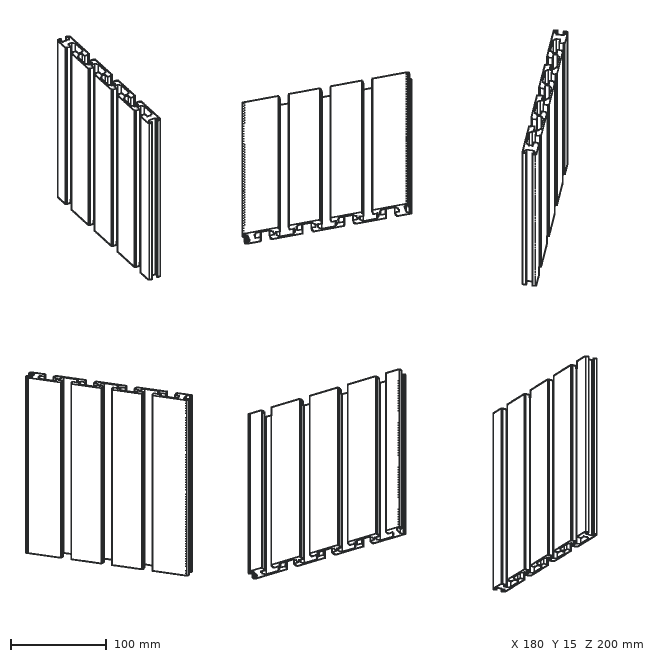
import cadquery as cq

length = 200.0
width = 180.0
thickness = 15.0
corner_radius = 2.0

slot_count = 7
slot_pitch = width / (slot_count + 1)
mouth_width = 10.0
mouth_step_width = 0.8
mouth_step_depth = 1.5
lip_thickness = 6.0
floor_thickness = 2.0
cavity_width = 20.2
cavity_chamfer = 2.8

groove_opening = 6.0
groove_step_width = 0.5
groove_step_depth = 0.5
groove_lip_thickness = 1.5
groove_depth = 5.5
groove_height = 12.5
groove_floor_height = 7.2
groove_slope_depth = 2.8


def mirrored_outline(half_outline):
    """Close a half outline of (half width, depth) points about its depth axis."""
    other_half = [(-half, depth) for half, depth in reversed(half_outline)]
    return cq.Workplane("XY").polyline(half_outline + other_half).close().extrude(length)


def t_slot():
    """T-slot opening at Y = 0 and running into +Y."""
    half_mouth = mouth_width / 2
    half_cavity = cavity_width / 2
    cavity_floor = thickness - floor_thickness
    return mirrored_outline([
        (half_mouth + mouth_step_width, 0),
        (half_mouth + mouth_step_width, mouth_step_depth),
        (half_mouth, mouth_step_depth),
        (half_mouth, lip_thickness),
        (half_cavity, lip_thickness),
        (half_cavity, cavity_floor - cavity_chamfer),
        (half_cavity - cavity_chamfer, cavity_floor),
    ])


def edge_groove():
    """Undercut edge groove opening at Y = 0 and running into +Y."""
    half_opening = groove_opening / 2
    return mirrored_outline([
        (half_opening + groove_step_width, 0),
        (half_opening + groove_step_width, groove_step_depth),
        (half_opening, groove_step_depth),
        (half_opening, groove_lip_thickness),
        (groove_height / 2, groove_lip_thickness),
        (groove_height / 2, groove_depth - groove_slope_depth),
        (groove_floor_height / 2, groove_depth),
    ])


result = (
    cq.Workplane("XY")
    .rect(width, thickness)
    .extrude(length)
    .edges("|Z")
    .fillet(corner_radius)
)

slot = t_slot().translate((0, -thickness / 2, 0))
for number in range(slot_count):
    turn = 0 if number % 2 == 0 else 180
    slot_x = -width / 2 + (number + 1) * slot_pitch
    result = result.cut(slot.rotate((0, 0, 0), (0, 0, 1), turn).translate((slot_x, 0, 0)))

groove = edge_groove().translate((0, -width / 2, 0))
for turn in (-90, 90):
    result = result.cut(groove.rotate((0, 0, 0), (0, 0, 1), turn))